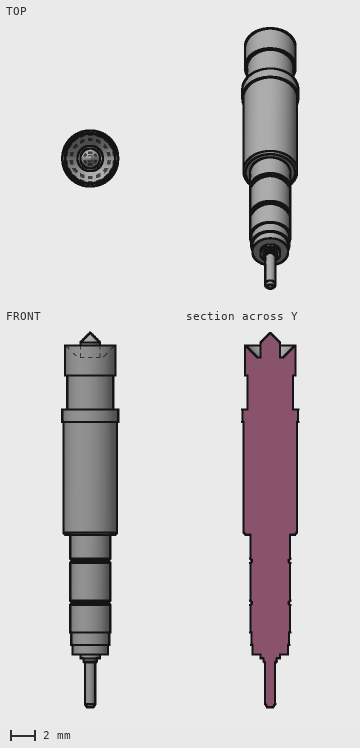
import cadquery as cq


total_height = 30.0
pin_diameter = 1.6
pin_radius = pin_diameter / 2
tip_height = pin_radius

head_top = 28.98
head_bottom = 26.55
head_radius = 2.05
neck_radius = 1.85
dish_rim_radius = 1.98
dish_floor_radius = 1.02
dish_depth = dish_rim_radius - dish_floor_radius

flange_top = 23.85
flange_bottom = 22.85
flange_radius = 2.25
barrel_radius = 2.15
barrel_bottom = 13.8
barrel_chamfer = 0.18

sleeve_radius = 1.62
sleeve_bottom = 6.0
groove_tops = (11.9, 8.55)
groove_width = 0.35
groove_depth = 0.12
upper_step_radius = 1.53
upper_step_bottom = 5.0
lower_step_radius = 1.45
lower_step_bottom = 4.23

collar_bottom = 3.93
boss_radius = 0.55
boss_bottom = 3.6
boss_chamfer = 0.1
tail_radius = 0.42
tail_chamfer_height = 0.27
tail_end_radius = 0.25


def cylinder(radius, bottom, top):
    return cq.Workplane("XY").workplane(offset=bottom).circle(radius).extrude(top - bottom)


def revolved(outline):
    """Turn an outline of (radius, height) points about the Z axis."""
    return cq.Workplane("XZ").polyline(outline).close().revolve(360, (0, 0, 0), (0, 1, 0))


def head():
    floor = head_top - dish_depth
    dish = revolved([(0, floor), (dish_floor_radius, floor), (dish_rim_radius, head_top), (0, head_top)])
    return cylinder(head_radius, head_bottom, head_top).cut(dish)


def contact_pin():
    shoulder = total_height - tip_height
    return revolved([(0, head_bottom), (pin_radius, head_bottom), (pin_radius, shoulder), (0, total_height)])


def barrel():
    body = cylinder(barrel_radius, barrel_bottom, flange_bottom)
    return body.faces("<Z").chamfer(barrel_chamfer)


def groove(top):
    """Ring cutter with a flat floor and 45 degree flanks."""
    bottom = top - groove_width
    floor_radius = sleeve_radius - groove_depth
    return revolved([
        (sleeve_radius, top),
        (floor_radius, top - groove_depth),
        (floor_radius, bottom + groove_depth),
        (sleeve_radius, bottom),
    ])


def sleeve():
    body = cylinder(sleeve_radius, sleeve_bottom, barrel_bottom)
    for top in groove_tops:
        body = body.cut(groove(top))
    body = body.union(cylinder(upper_step_radius, upper_step_bottom, sleeve_bottom))
    return body.union(cylinder(lower_step_radius, lower_step_bottom, upper_step_bottom))


def rear_boss():
    collar = cylinder(pin_radius, collar_bottom, lower_step_bottom)
    boss = cylinder(boss_radius, boss_bottom, collar_bottom).faces("<Z").chamfer(boss_chamfer)
    return collar.union(boss)


def solder_tail():
    return revolved([
        (0, 0),
        (tail_end_radius, 0),
        (tail_radius, tail_chamfer_height),
        (tail_radius, boss_bottom),
        (0, boss_bottom),
    ])


result = (
    head()
    .union(contact_pin())
    .union(cylinder(neck_radius, flange_top, head_bottom))
    .union(cylinder(flange_radius, flange_bottom, flange_top))
    .union(barrel())
    .union(sleeve())
    .union(rear_boss())
    .union(solder_tail())
    .translate((0, 0, -total_height / 2))
)